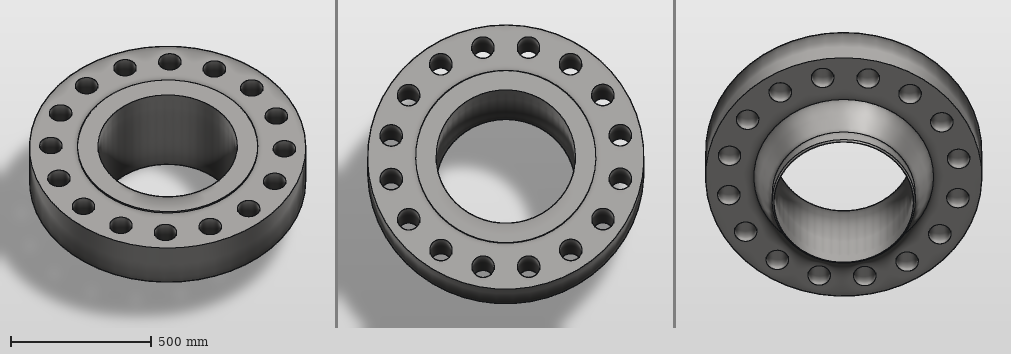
import cadquery as cq

flange_diameter = 984.0
flange_thickness = 178.0

face_diameter = 642.0
face_height = 7.0

overall_height = 362.0
hub_base_diameter = 640.0
neck_diameter = 510.0
neck_length = 59.0
bevel_height = 6.0
bevel_inset = 6.0

bore_diameter = 496.0

bolt_count = 16
bolt_circle_diameter = 832.0
bolt_hole_diameter = 80.0

flange_top = overall_height - face_height
flange_bottom = flange_top - flange_thickness


def make_body():
    """Revolve the half section of the flange, neck and bore about Z."""
    bore_radius = bore_diameter / 2
    neck_radius = neck_diameter / 2
    half_section = (
        cq.Workplane("XZ")
        .moveTo(bore_radius, 0)
        .lineTo(neck_radius - bevel_inset, 0)
        .lineTo(neck_radius, bevel_height)
        .lineTo(neck_radius, neck_length)
        .lineTo(hub_base_diameter / 2, flange_bottom)
        .lineTo(flange_diameter / 2, flange_bottom)
        .lineTo(flange_diameter / 2, flange_top)
        .lineTo(face_diameter / 2, flange_top)
        .lineTo(face_diameter / 2, overall_height)
        .lineTo(bore_radius, overall_height)
        .close()
    )
    return half_section.revolve(360, (0, 0, 0), (0, 1, 0))


def make_bolt_holes():
    """Cylinders through the disc, turned half a pitch away from the X axis."""
    half_pitch = 360 / bolt_count / 2
    return (
        cq.Workplane("XY", origin=(0, 0, flange_bottom))
        .polarArray(bolt_circle_diameter / 2, half_pitch, 360, bolt_count)
        .circle(bolt_hole_diameter / 2)
        .extrude(flange_thickness)
    )


result = make_body().cut(make_bolt_holes())